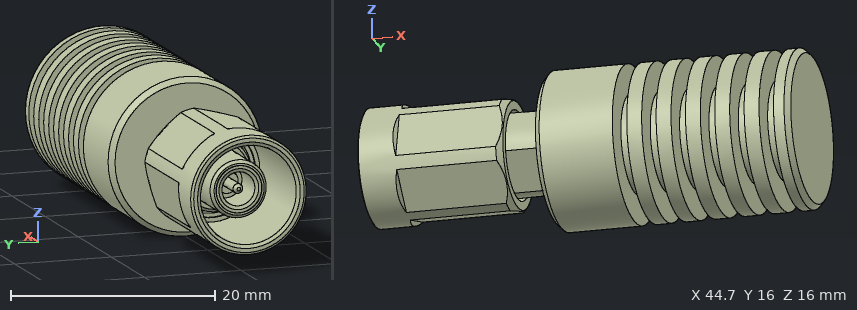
import cadquery as cq


total_length = 44.7
overlap = 0.1
cut_clearance = 0.45

body_radius = 8.0
body_start = 18.65
body_chamfer = 0.55
groove_start = 26.65
groove_width = 1.48
groove_pitch = 3.0
groove_count = 6
groove_floor_radius = 5.0

neck_radius = 4.2
neck_half_flat = 3.5
neck_start = 12.5
flat_angle = 45.0
shoulder_start = 9.85
shoulder_radius = 3.7
shoulder_chamfer = 0.3

nut_radius = 6.0
nut_length = 14.7
nut_bore_radius = 4.95
nut_rear_opening_radius = 4.5
nut_front_chamfer_radial = 0.25
nut_front_chamfer_axial = 0.15
nut_mouth_chamfer_radial = 0.35
nut_mouth_chamfer_axial = 0.2
nut_rear_chamfer = 0.6
hex_sides = 6
hex_half_flat = 5.5
hex_start = 3.95
hex_runout = 0.3

ring_thickness = 1.35
ring_start = neck_start - ring_thickness
ring_inner_radius = 4.1
ring_lip_radius = 4.5
ring_lip_setback = 0.22
ring_gap = 4.83

barrel_start = 2.95
barrel_radius = 2.9
barrel_chamfer = 0.3
barrel_rim_inner_radius = 2.35
barrel_rim_height = 0.1
barrel_mouth_radius = 2.05
barrel_mouth_chamfer_axial = 0.15
barrel_bore_radius = 1.7
barrel_bore_depth = 4.02

pin_radius = 0.5
pin_tip_chamfer = 0.3
pin_base_radius = 1.15
pin_base_length = 0.45


def turned(points):
    """Revolve a closed (x, radius) outline about the X axis."""
    return cq.Workplane("XY").polyline(points).close().revolve(360, (0, 0, 0), (1, 0, 0))


def turned_cylinder(start, end, radius):
    return cq.Workplane("YZ").workplane(offset=start).circle(radius).extrude(end - start)


def make_body():
    body = turned_cylinder(body_start, total_length, body_radius)
    body = body.faces("<X or >X").chamfer(body_chamfer)
    for i in range(groove_count):
        start = groove_start + i * groove_pitch
        groove = turned_cylinder(start, start + groove_width, body_radius + cut_clearance)
        core = turned_cylinder(start, start + groove_width, groove_floor_radius)
        body = body.cut(groove.cut(core))
    return body


def make_neck():
    """Neck with its front shoulder, both cut by the same pair of wrench flats."""
    neck_end = body_start + overlap
    neck = turned([
        (shoulder_start, 0),
        (shoulder_start, shoulder_radius - shoulder_chamfer),
        (shoulder_start + shoulder_chamfer, shoulder_radius),
        (neck_start, shoulder_radius),
        (neck_start, neck_radius),
        (neck_end, neck_radius),
        (neck_end, 0),
    ])
    slab = cq.Workplane("XY").box(
        neck_end - shoulder_start, 2 * neck_radius, 2 * neck_half_flat, centered=(False, True, True)
    )
    slab = slab.translate((shoulder_start, 0, 0)).rotate((0, 0, 0), (1, 0, 0), -flat_angle)
    return neck.intersect(slab)


def make_nut():
    bore_cone = nut_bore_radius - nut_rear_opening_radius
    nut = turned([
        (0, nut_bore_radius + nut_mouth_chamfer_radial),
        (0, nut_radius - nut_front_chamfer_radial),
        (nut_front_chamfer_axial, nut_radius),
        (nut_length - nut_rear_chamfer, nut_radius),
        (nut_length, nut_radius - nut_rear_chamfer),
        (nut_length, nut_rear_opening_radius),
        (neck_start + bore_cone, nut_rear_opening_radius),
        (neck_start, nut_bore_radius),
        (nut_mouth_chamfer_axial, nut_bore_radius),
    ])
    runout_slope = hex_runout / (nut_radius - hex_half_flat)
    cutter_top = nut_radius + cut_clearance
    cutter = (
        cq.Workplane("XZ")
        .polyline([
            (hex_start, hex_half_flat),
            (nut_length, hex_half_flat),
            (nut_length, cutter_top),
            (hex_start - runout_slope * (cutter_top - hex_half_flat), cutter_top),
        ])
        .close()
        .extrude(nut_radius, both=True)
    )
    for i in range(hex_sides):
        turn = flat_angle + i * 360 / hex_sides
        nut = nut.cut(cutter.rotate((0, 0, 0), (1, 0, 0), -turn))
    return nut


def make_ring():
    ring = turned([
        (ring_start, ring_lip_radius),
        (ring_start, nut_bore_radius + overlap),
        (neck_start + overlap, nut_bore_radius + overlap),
        (neck_start + overlap, ring_inner_radius),
        (ring_start + ring_lip_setback, ring_inner_radius),
        (ring_start + ring_lip_setback, ring_lip_radius),
    ])
    gap = cq.Workplane("XY").box(
        nut_length, ring_gap, nut_radius, centered=(False, True, False)
    )
    return ring.cut(gap.rotate((0, 0, 0), (1, 0, 0), -flat_angle))


def make_barrel():
    barrel_face = barrel_start + barrel_rim_height
    bore_floor = barrel_face + barrel_bore_depth
    pin_base_start = bore_floor - pin_base_length
    return turned([
        (barrel_face, 0),
        (barrel_face, pin_radius - pin_tip_chamfer),
        (barrel_face + pin_tip_chamfer, pin_radius),
        (pin_base_start, pin_radius),
        (pin_base_start, pin_base_radius),
        (bore_floor, pin_base_radius),
        (bore_floor, barrel_bore_radius),
        (barrel_face + barrel_mouth_chamfer_axial, barrel_bore_radius),
        (barrel_face, barrel_mouth_radius),
        (barrel_face, barrel_rim_inner_radius),
        (barrel_start, barrel_rim_inner_radius),
        (barrel_start, barrel_radius - barrel_chamfer),
        (barrel_start + barrel_chamfer, barrel_radius),
        (shoulder_start + overlap, barrel_radius),
        (shoulder_start + overlap, 0),
    ])


result = make_body().union(make_neck()).union(make_ring()).union(make_nut()).union(make_barrel())